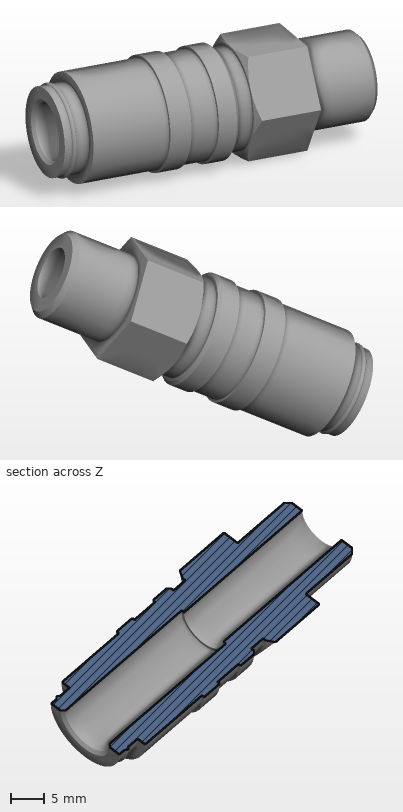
import cadquery as cq
import math

LENGTH = 52.0

STEM_DIAMETER = 14.0
BODY_DIAMETER = 17.1
BAND_DIAMETER = 18.0
NECK_DIAMETER = 16.0
RING_DIAMETER = 14.6

BODY_START = 4.0
LOWER_BAND_START = 16.5
LOWER_BAND_END = 20.0
UPPER_BAND_START = 24.5
UPPER_BAND_END = 28.0
HEX_START = 30.5
HEX_END = 41.0

RING_CENTER = 1.6
RING_SECTION_RADIUS = 0.4

BAND_CHAMFER = 0.5
TAIL_CHAMFER = 0.8

HEX_ACROSS_FLATS = 17.0
HEX_ACROSS_CORNERS = HEX_ACROSS_FLATS / math.cos(math.radians(30))
HEX_CHAMFER_ANGLE = 30.0

BORE_DIAMETER = 8.0
SOCKET_DIAMETER = 9.0
MOUTH_DIAMETER = 10.0
SOCKET_DEPTH = 26.0
MOUTH_CHAMFER = (MOUTH_DIAMETER - SOCKET_DIAMETER) / 2


def cylinder(diameter, start, end):
    """Solid cylinder on the Y axis between two stations."""
    return cq.Workplane("XZ", origin=(0, start, 0)).circle(diameter / 2).extrude(start - end)


def revolve_about_y(half_profile):
    """Turn a closed half profile, drawn as (radius, station), about the Y axis."""
    return half_profile.revolve(360, (0, 0, 0), (0, 1, 0))


def make_body():
    """Stem running the full length, with the stepped sleeve around it."""
    stem = cylinder(STEM_DIAMETER, 0, LENGTH).faces(">Y").chamfer(TAIL_CHAMFER)
    sleeve = cylinder(BODY_DIAMETER, BODY_START, UPPER_BAND_START)
    lower_band = cylinder(BAND_DIAMETER, LOWER_BAND_START, LOWER_BAND_END)
    upper_band = cylinder(BAND_DIAMETER, UPPER_BAND_START, UPPER_BAND_END).faces(">Y").chamfer(BAND_CHAMFER)
    neck = cylinder(NECK_DIAMETER, UPPER_BAND_END, HEX_START)
    return stem.union(sleeve).union(lower_band).union(upper_band).union(neck)


def make_retaining_ring():
    """Round-section ring, partly sunk into the socket nose."""
    section_center = RING_DIAMETER / 2 - RING_SECTION_RADIUS
    section = cq.Workplane("XY").center(section_center, RING_CENTER).circle(RING_SECTION_RADIUS)
    return section.revolve(360, (-section_center, 0, 0), (-section_center, 1, 0))


def make_hexagon():
    """Hexagon with corners on the X axis, cone-chamfered on its socket side."""
    prism = (
        cq.Workplane("XZ", origin=(0, HEX_START, 0))
        .polygon(6, HEX_ACROSS_CORNERS)
        .extrude(HEX_START - HEX_END)
    )
    flat_radius = HEX_ACROSS_FLATS / 2
    corner_radius = HEX_ACROSS_CORNERS / 2
    chamfer_height = (corner_radius - flat_radius) * math.tan(math.radians(HEX_CHAMFER_ANGLE))
    envelope = revolve_about_y(
        cq.Workplane("XY").polyline([
            (0, HEX_START),
            (flat_radius, HEX_START),
            (corner_radius, HEX_START + chamfer_height),
            (corner_radius, HEX_END),
            (0, HEX_END),
        ]).close()
    )
    return prism.intersect(envelope)


def make_bore():
    """Through bore that widens into the socket and its chamfered mouth."""
    return revolve_about_y(
        cq.Workplane("XY").polyline([
            (0, 0),
            (MOUTH_DIAMETER / 2, 0),
            (SOCKET_DIAMETER / 2, MOUTH_CHAMFER),
            (SOCKET_DIAMETER / 2, SOCKET_DEPTH),
            (BORE_DIAMETER / 2, SOCKET_DEPTH),
            (BORE_DIAMETER / 2, LENGTH),
            (0, LENGTH),
        ]).close()
    )


result = make_body().union(make_retaining_ring()).union(make_hexagon()).cut(make_bore())